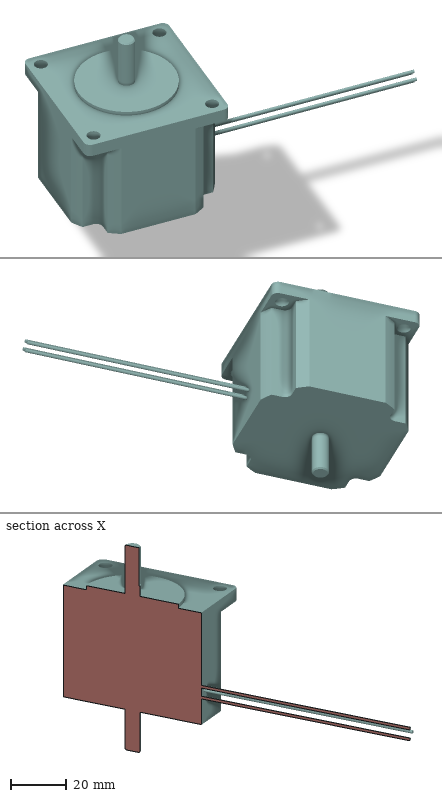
import cadquery as cq

SQUARE_SIDE = 57.15
HALF_SIDE = SQUARE_SIDE / 2
TOTAL_DEPTH = 142.88
TOTAL_LENGTH = 80.52

FLANGE_THICKNESS = 5.08
FLANGE_CORNER_RADIUS = 2.54
HOLE_DIAMETER = 5.08
HOLE_SPACING = 47.14

PILOT_DIAMETER = 38.1
PILOT_HEIGHT = 1.6

SHAFT_DIAMETER = 6.35
SHAFT_ABOVE_FLANGE = 20.62
SHAFT_BELOW_BODY = 15.88
SHAFT_CHAMFER = 0.5
FLAT_LENGTH = 15.0
FLAT_DEPTH = 0.5

BODY_BOTTOM = SHAFT_ABOVE_FLANGE - TOTAL_LENGTH + SHAFT_BELOW_BODY
BODY_CORNER_ARC_RADIUS = 32.15
NOTCH_WALL = 19.05
NOTCH_SIZE = HALF_SIDE - NOTCH_WALL
NOTCH_FILLET = 2.7

WIRE_DIAMETER = 1.27
WIRE_LENGTH = TOTAL_DEPTH - SQUARE_SIDE
WIRE_OFFSET = 2.12
WIRE_BUNDLE_Z = -31.2
WIRE_COUNT = 4
WIRE_EMBED = 1.0


def make_flange():
    plate = cq.Workplane("XY").rect(SQUARE_SIDE, SQUARE_SIDE).extrude(-FLANGE_THICKNESS)
    plate = plate.edges("|Z").fillet(FLANGE_CORNER_RADIUS)
    holes = (
        cq.Workplane("XY")
        .rect(HOLE_SPACING, HOLE_SPACING, forConstruction=True)
        .vertices()
        .circle(HOLE_DIAMETER / 2)
        .extrude(-FLANGE_THICKNESS)
    )
    return plate.cut(holes)


def make_notch(x_sign, y_sign):
    """Square corner cutter whose innermost edge is rounded."""
    center = NOTCH_WALL + NOTCH_SIZE / 2
    inner_edge = cq.selectors.NearestToPointSelector(
        (x_sign * NOTCH_WALL, y_sign * NOTCH_WALL, BODY_BOTTOM / 2)
    )
    return (
        cq.Workplane("XY")
        .center(x_sign * center, y_sign * center)
        .rect(NOTCH_SIZE, NOTCH_SIZE)
        .extrude(BODY_BOTTOM)
        .edges("|Z")
        .edges(inner_edge)
        .fillet(NOTCH_FILLET)
    )


def make_body():
    """Square prism with corners rounded about the shaft axis and notched below the flange."""
    body = cq.Workplane("XY").rect(SQUARE_SIDE, SQUARE_SIDE).extrude(BODY_BOTTOM)
    envelope = cq.Workplane("XY").circle(BODY_CORNER_ARC_RADIUS).extrude(BODY_BOTTOM)
    body = body.intersect(envelope)
    for x_sign in (-1, 1):
        for y_sign in (-1, 1):
            body = body.cut(make_notch(x_sign, y_sign))
    return body


def make_pilot():
    return cq.Workplane("XY").circle(PILOT_DIAMETER / 2).extrude(PILOT_HEIGHT)


def make_shaft():
    """Double-ended shaft with chamfered ends and a flat on the +Y side of the upper end."""
    radius = SHAFT_DIAMETER / 2
    shaft = (
        cq.Workplane("XY")
        .workplane(offset=SHAFT_ABOVE_FLANGE)
        .circle(radius)
        .extrude(-TOTAL_LENGTH)
        .faces("<Z or >Z")
        .edges()
        .chamfer(SHAFT_CHAMFER)
    )
    flat = (
        cq.Workplane("XY")
        .workplane(offset=SHAFT_ABOVE_FLANGE)
        .center(0, radius - FLAT_DEPTH / 2)
        .rect(SHAFT_DIAMETER, FLAT_DEPTH)
        .extrude(-FLAT_LENGTH)
    )
    return shaft.cut(flat)


def make_wires():
    """Straight lead wires leaving the +Y side of the body, rooted slightly inside it."""
    return (
        cq.Workplane("XZ", origin=(0, HALF_SIDE - WIRE_EMBED, WIRE_BUNDLE_Z))
        .polarArray(WIRE_OFFSET, 0, 360, WIRE_COUNT)
        .circle(WIRE_DIAMETER / 2)
        .extrude(-(WIRE_LENGTH + WIRE_EMBED))
    )


result = make_body().union(make_flange())
for feature in (make_pilot(), make_shaft(), make_wires()):
    result = result.union(feature)